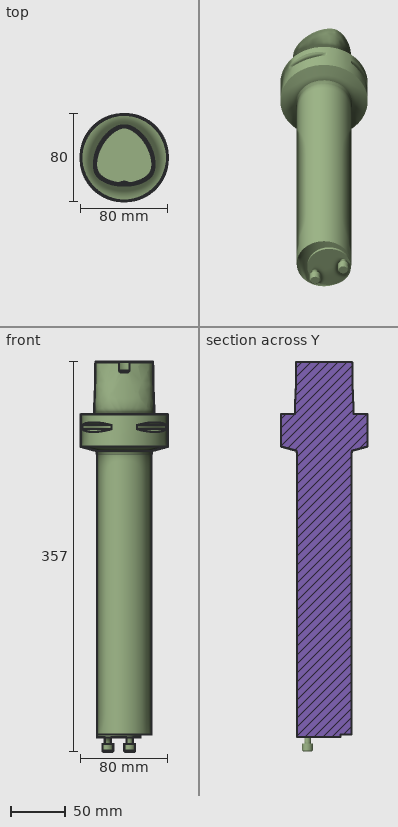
import cadquery as cq
import math

total_height = 357.0
shank_length = 48.0
flange_height = 30.0
cone_height = 4.0
neck_height = 3.2
body_bottom = 15.7
pilot_bottom = 13.2
flange_top = total_height - shank_length
flange_bottom = flange_top - flange_height
cone_bottom = flange_bottom - cone_height

flange_radius = 40.0
flange_chamfer = 0.7
body_radius = 25.0
cone_end_radius = 25.7

shank_base_radius = 27.65
shank_taper = 1 / 40
lobe_eccentricity = 2.0
shank_top_chamfer = 0.7

pocket_radius = 6.0
pocket_height = 10.0
pocket_chamfer = 1.8
pocket_depth = 2.5

groove_count = 4
groove_z = flange_top - 12.0
groove_floor_height = 3.5
groove_mouth_height = 9.0
groove_depth = 4.5

pilot_radius = 20.0
pilot_x = pilot_radius - body_radius
screw_offset = 10.0
screw_radius = 3.05
head_radius = 5.0
head_height = 7.0
head_chamfer = 1.0

overlap = 1.8


def make_turned_body():
    """Body, tapered neck, cone and flange revolved about Z."""
    neck_bottom = cone_bottom - neck_height
    chamfer_radius = flange_radius - flange_chamfer
    return (
        cq.Workplane("XZ")
        .moveTo(0, body_bottom)
        .lineTo(body_radius, body_bottom)
        .lineTo(body_radius, neck_bottom)
        .lineTo(cone_end_radius, cone_bottom)
        .lineTo(flange_radius, flange_bottom)
        .lineTo(flange_radius, flange_top - flange_chamfer)
        .lineTo(chamfer_radius, flange_top)
        .lineTo(0, flange_top)
        .close()
        .revolve(360, (0, 0, 0), (0, 1, 0))
    )


def lobed_outline(z, radius):
    """Closed wire of the three-lobed polygon, with one lobe toward +Y."""
    def point(turn):
        angle = 2 * math.pi * turn
        lobe_along = 2 * math.cos(2 * angle) - math.cos(4 * angle)
        lobe_across = 2 * math.sin(2 * angle) + math.sin(4 * angle)
        along = radius * math.cos(angle) - lobe_eccentricity * lobe_along
        across = radius * math.sin(angle) + lobe_eccentricity * lobe_across
        return (across, -along)

    return cq.Workplane("XY").parametricCurve(point, N=60).val().translate(cq.Vector(0, 0, z))


def loft_between(lower, upper):
    """Ruled solid between two closed outlines."""
    return cq.Workplane(cq.Solid.makeLoft([lower, upper], True))


def make_shank():
    """Tapered polygon shank with a small bevel around its top face."""
    bevel_z = total_height - shank_top_chamfer
    bevel_radius = shank_base_radius - shank_taper * (bevel_z - flange_top)
    top_radius = bevel_radius - shank_top_chamfer
    taper = loft_between(
        lobed_outline(flange_top, shank_base_radius),
        lobed_outline(bevel_z, bevel_radius),
    )
    bevel = loft_between(
        lobed_outline(bevel_z, bevel_radius),
        lobed_outline(total_height, top_radius),
    )
    return taper.union(bevel)


def make_pocket():
    """Round vertical scoop cut into the -Y flat, with a bevelled floor."""
    flat_y = -(shank_base_radius - shank_taper * shank_length - lobe_eccentricity)
    axis_y = flat_y + pocket_depth - pocket_radius
    return (
        cq.Workplane("XY", origin=(0, axis_y, total_height - pocket_height))
        .circle(pocket_radius)
        .extrude(pocket_height + overlap)
        .faces("<Z")
        .chamfer(pocket_chamfer)
    )


def make_groove(angle):
    """Straight trapezoidal groove across the flange rim."""
    floor_x = flange_radius - groove_depth
    slope = (groove_mouth_height - groove_floor_height) / 2 / groove_depth
    outer_x = flange_radius + overlap
    half_floor = groove_floor_height / 2
    half_outer = half_floor + slope * (outer_x - floor_x)
    return (
        cq.Workplane("XZ")
        .polyline([
            (floor_x, groove_z - half_floor),
            (outer_x, groove_z - half_outer),
            (outer_x, groove_z + half_outer),
            (floor_x, groove_z + half_floor),
        ])
        .close()
        .extrude(flange_radius, both=True)
        .rotate((0, 0, 0), (0, 0, 1), angle)
    )


def make_pilot():
    """Shallow disc below the body, off centre toward -X."""
    return (
        cq.Workplane("XY", origin=(pilot_x, 0, pilot_bottom))
        .circle(pilot_radius)
        .extrude(body_bottom - pilot_bottom + overlap)
        .intersect(cq.Workplane("XY").circle(body_radius).extrude(total_height))
    )


def make_screw(x, y):
    """Cap screw hanging from the pilot disc, head down."""
    head = (
        cq.Workplane("XY", origin=(x, y, 0))
        .circle(head_radius)
        .extrude(head_height)
        .faces("<Z")
        .chamfer(head_chamfer)
    )
    stem = cq.Workplane("XY", origin=(x, y, 0)).circle(screw_radius).extrude(pilot_bottom + overlap)
    return head.union(stem)


result = make_turned_body().union(make_shank()).cut(make_pocket())
for index in range(groove_count):
    result = result.cut(make_groove((index + 0.5) * 360 / groove_count))
result = result.union(make_pilot())
for side in (-1, 1):
    result = result.union(make_screw(pilot_x + side * screw_offset, -side * screw_offset))